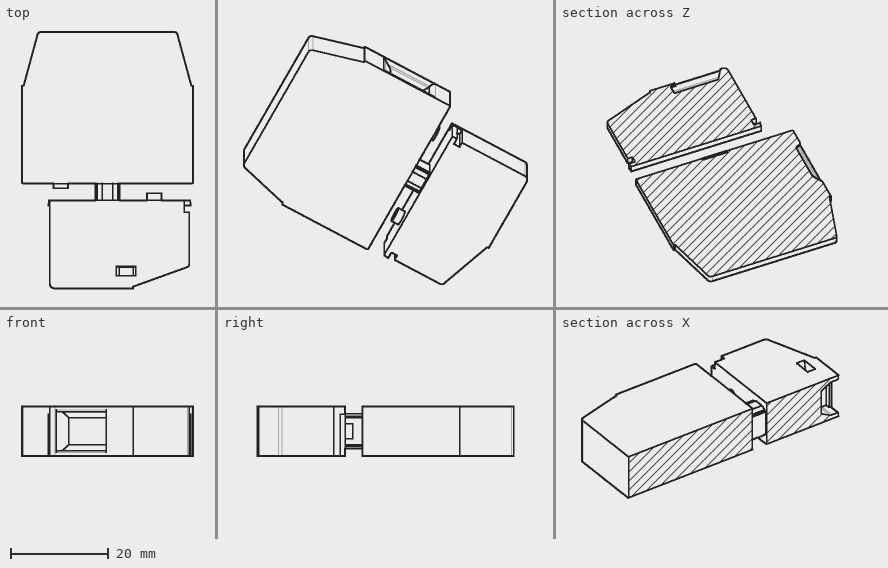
import cadquery as cq

HEIGHT = 10.2
HOUSING_WIDTH = 35.0
LENGTH = 52.45
HOUSING_FRONT = 21.45
SHOULDER_Y = 41.45
SHOULDER_HALF_WIDTH = 17.15
BACK_HALF_WIDTH = 14.15
BACK_CORNER_RADIUS = 0.8
FRONT_CORNER_RADIUS = 0.25
MID_HEIGHT = HEIGHT / 2

PLUG_LEFT = -11.8
PLUG_RIGHT = 16.75
PLUG_BACK = 18.0
PLUG_CORNER_RADIUS = 1.0
SLANT_CORNER_RADIUS = 0.75
SLANT_START_X = 5.25
SLANT_START_Y = 0.35
SLANT_END_Y = 4.5

NOTCH_DEPTH = 1.05
NOTCH_FRONT = 15.65
LEFT_NOTCH_TOP = 8.95
LIP_FRONT = 16.95
LIP_TOP = 8.5
LIP_BACK_OVERHANG = 0.15
LIP_FRONT_OVERHANG = 0.3

WINDOW_X = (1.85, 5.75)
WINDOW_Y = (2.6, 4.5)
WINDOW_DEPTH = 2.6
WINDOW_END_TAPER = 0.5
WINDOW_BACK_TAPER = 0.15

PIN_RADIUS = 1.5
PIN_X = 9.55
HOUSING_PIN_LENGTH = 1.0
PLUG_PIN_LENGTH = 1.5

BAR_HALF_WIDTH = 2.45
BAR_SIDE_HALF_HEIGHT = 2.8
BAR_RIB_HALF_WIDTH = 2.1
BAR_RIB_HALF_HEIGHT = 3.1
BAR_CREST_HALF_WIDTH = 1.1
BAR_CREST_HALF_HEIGHT = 3.55
SLOT_WIDTH = 5.4
SLOT_HEIGHT = 7.35
SLOT_DEPTH = 0.4

ENTRY_DEPTH = 4.2
ENTRY_LEFT = -10.45
ENTRY_RIGHT = -0.25
ENTRY_BACK_LEFT = -7.9
ENTRY_INNER_RIGHT = 0.8
ENTRY_RIM_DEPTH = 0.65
ENTRY_HALF_HEIGHT = 4.35
ENTRY_LIP_RADIUS = 0.35
ENTRY_RAMP_START = 2.0
ENTRY_RAMP_RADIUS = 1.05

SIDE_ENTRY_DEPTH = 3.05
SIDE_ENTRY_FRONT = 25.05
SIDE_ENTRY_BACK = 37.05
SIDE_ENTRY_FRONT_LIP = 0.85
SIDE_ENTRY_BACK_LIP_DEPTH = 0.15
SIDE_ENTRY_BACK_LIP_WIDTH = 0.45
SIDE_ENTRY_FLOOR_FRONT = 27.5
SIDE_ENTRY_FLOOR_BACK = 34.4
SIDE_ENTRY_NOSE_DEPTH = 1.4
SIDE_ENTRY_NOSE_Y = 34.55
SIDE_ENTRY_NOSE_RADIUS = 0.85
SIDE_ENTRY_HALF_HEIGHT = 4.55
SIDE_ENTRY_LIP_RADIUS = 0.7
SIDE_ENTRY_RAMP_START = 0.9
SIDE_ENTRY_RAMP_RADIUS = 0.8

END_HALF_HEIGHT = 2.8

DIAGONAL = 0.5 ** 0.5


def box(x_range, y_range, z_range):
    size = [high - low for low, high in (x_range, y_range, z_range)]
    return cq.Workplane().box(*size, centered=False).translate((x_range[0], y_range[0], z_range[0]))


def plan_prism(points):
    return cq.Workplane("XY").polyline(points).close().extrude(HEIGHT)


def round_edges(solid, radius, points):
    """Fillet the edge whose middle is nearest to each point."""
    for point in points:
        solid = solid.edges(cq.NearestToPointSelector(point)).fillet(radius)
    return solid


def entry_height_prism(plane, start, length, half_height, lip, ramp_start, ramp_radius, depth):
    """Mouth flared by rounded lips, then level walls, then ramps narrowing to the end wall."""
    inner = half_height - lip
    lip_mid = lip * (1 - DIAGONAL)
    lip_mid_depth = lip * DIAGONAL
    prism = (
        cq.Workplane(plane, origin=start)
        .moveTo(0, -half_height)
        .threePointArc((lip_mid, -half_height + lip_mid_depth), (lip, -inner))
        .lineTo(ramp_start, -inner)
        .lineTo(depth, -END_HALF_HEIGHT)
        .lineTo(depth, END_HALF_HEIGHT)
        .lineTo(ramp_start, inner)
        .lineTo(lip, inner)
        .threePointArc((lip_mid, half_height - lip_mid_depth), (0, half_height))
        .close()
        .extrude(length)
    )
    ramp_points = [(ramp_start, -inner), (ramp_start, inner)]
    middle = cq.Workplane(plane, origin=start).workplane(offset=length / 2)
    ramp_edges = [middle.plane.toWorldCoords(point).toTuple() for point in ramp_points]
    return round_edges(prism, ramp_radius, ramp_edges)


def make_housing():
    half_width = HOUSING_WIDTH / 2
    block = plan_prism([
        (-half_width, HOUSING_FRONT),
        (half_width, HOUSING_FRONT),
        (half_width, SHOULDER_Y),
        (SHOULDER_HALF_WIDTH, SHOULDER_Y),
        (BACK_HALF_WIDTH, LENGTH),
        (-BACK_HALF_WIDTH, LENGTH),
        (-SHOULDER_HALF_WIDTH, SHOULDER_Y),
        (-half_width, SHOULDER_Y),
    ])
    back_corners = [(side * BACK_HALF_WIDTH, LENGTH, MID_HEIGHT) for side in (-1, 1)]
    front_corners = [(side * half_width, HOUSING_FRONT, MID_HEIGHT) for side in (-1, 1)]
    block = round_edges(block, BACK_CORNER_RADIUS, back_corners)
    return round_edges(block, FRONT_CORNER_RADIUS, front_corners)


def make_plug():
    block = plan_prism([
        (PLUG_LEFT, 0),
        (SLANT_START_X, 0),
        (SLANT_START_X, SLANT_START_Y),
        (PLUG_RIGHT, SLANT_END_Y),
        (PLUG_RIGHT, PLUG_BACK),
        (PLUG_LEFT, PLUG_BACK),
    ])
    block = round_edges(block, PLUG_CORNER_RADIUS, [(PLUG_LEFT, 0, MID_HEIGHT)])
    return round_edges(block, SLANT_CORNER_RADIUS, [(PLUG_RIGHT, SLANT_END_Y, MID_HEIGHT)])


def add_latch(plug, wall_x, outward, notch_top):
    """Cut a notch at one back corner of the plug and stand a slanted lip in it."""
    notch_x = wall_x - outward * NOTCH_DEPTH
    notch = box(sorted((notch_x, wall_x)), (NOTCH_FRONT, PLUG_BACK), (0, notch_top))
    lip = (
        cq.Workplane("XY")
        .polyline([
            (notch_x, LIP_FRONT),
            (wall_x + outward * LIP_FRONT_OVERHANG, LIP_FRONT),
            (wall_x + outward * LIP_BACK_OVERHANG, PLUG_BACK),
            (notch_x, PLUG_BACK),
        ])
        .close()
        .extrude(LIP_TOP)
    )
    return plug.cut(notch).union(lip)


def make_window():
    width = WINDOW_X[1] - WINDOW_X[0]
    depth = WINDOW_Y[1] - WINDOW_Y[0]
    return (
        cq.Workplane("XY", origin=(sum(WINDOW_X) / 2, sum(WINDOW_Y) / 2, HEIGHT))
        .rect(width, depth)
        .workplane(offset=-WINDOW_DEPTH)
        .center(0, -WINDOW_BACK_TAPER / 2)
        .rect(width - 2 * WINDOW_END_TAPER, depth - WINDOW_BACK_TAPER)
        .loft(ruled=True)
    )


def make_plug_entry():
    """Entry with a slanted left wall, widening to the right behind a thin rim."""
    plan = plan_prism([
        (ENTRY_LEFT, 0),
        (ENTRY_RIGHT, 0),
        (ENTRY_RIGHT, ENTRY_RIM_DEPTH),
        (ENTRY_INNER_RIGHT, ENTRY_RIM_DEPTH),
        (ENTRY_INNER_RIGHT, ENTRY_DEPTH),
        (ENTRY_BACK_LEFT, ENTRY_DEPTH),
    ])
    start = (ENTRY_LEFT, 0, MID_HEIGHT)
    heights = entry_height_prism(
        "YZ", start, ENTRY_INNER_RIGHT - ENTRY_LEFT, ENTRY_HALF_HEIGHT, ENTRY_LIP_RADIUS,
        ENTRY_RAMP_START, ENTRY_RAMP_RADIUS, ENTRY_DEPTH,
    )
    return plan.intersect(heights)


def make_housing_entry():
    """Entry with flared edges and a rounded nose on its back wall."""
    mouth_x = -HOUSING_WIDTH / 2
    front_lip = SIDE_ENTRY_FRONT_LIP
    plan = (
        cq.Workplane("XY", origin=(mouth_x, 0, 0))
        .moveTo(0, SIDE_ENTRY_FRONT)
        .threePointArc(
            (front_lip * (1 - DIAGONAL), SIDE_ENTRY_FRONT + front_lip * DIAGONAL),
            (front_lip, SIDE_ENTRY_FRONT + front_lip),
        )
        .lineTo(SIDE_ENTRY_DEPTH, SIDE_ENTRY_FLOOR_FRONT)
        .lineTo(SIDE_ENTRY_DEPTH, SIDE_ENTRY_FLOOR_BACK)
        .lineTo(SIDE_ENTRY_NOSE_DEPTH, SIDE_ENTRY_NOSE_Y)
        .lineTo(SIDE_ENTRY_BACK_LIP_DEPTH, SIDE_ENTRY_BACK - SIDE_ENTRY_BACK_LIP_WIDTH)
        .lineTo(0, SIDE_ENTRY_BACK)
        .close()
        .extrude(HEIGHT)
    )
    nose = (mouth_x + SIDE_ENTRY_NOSE_DEPTH, SIDE_ENTRY_NOSE_Y, MID_HEIGHT)
    plan = round_edges(plan, SIDE_ENTRY_NOSE_RADIUS, [nose])
    start = (mouth_x, SIDE_ENTRY_BACK, MID_HEIGHT)
    heights = entry_height_prism(
        "XZ", start, SIDE_ENTRY_BACK - SIDE_ENTRY_FRONT, SIDE_ENTRY_HALF_HEIGHT, SIDE_ENTRY_LIP_RADIUS,
        SIDE_ENTRY_RAMP_START, SIDE_ENTRY_RAMP_RADIUS, SIDE_ENTRY_DEPTH,
    )
    return plan.intersect(heights)


def make_pin(x, base_y, length):
    """Round pin pointing toward -Y from base_y, or toward +Y for a negative length."""
    return cq.Workplane("XZ", origin=(x, base_y, MID_HEIGHT)).circle(PIN_RADIUS).extrude(length)


def make_slot():
    return (
        cq.Workplane("XZ", origin=(0, HOUSING_FRONT, MID_HEIGHT))
        .rect(SLOT_WIDTH, SLOT_HEIGHT)
        .extrude(-SLOT_DEPTH)
    )


def make_bar():
    upper_right = [
        (BAR_HALF_WIDTH, BAR_SIDE_HALF_HEIGHT),
        (BAR_RIB_HALF_WIDTH, BAR_SIDE_HALF_HEIGHT),
        (BAR_RIB_HALF_WIDTH, BAR_RIB_HALF_HEIGHT),
        (BAR_CREST_HALF_WIDTH, BAR_CREST_HALF_HEIGHT),
    ]
    right_side = [(x, -z) for x, z in reversed(upper_right)] + upper_right
    left_side = [(-x, -z) for x, z in right_side]
    return (
        cq.Workplane("XZ", origin=(0, PLUG_BACK, MID_HEIGHT))
        .polyline(right_side + left_side)
        .close()
        .extrude(PLUG_BACK - HOUSING_FRONT - SLOT_DEPTH)
    )


housing = make_housing().cut(make_housing_entry()).cut(make_slot())

plug = make_plug().cut(make_plug_entry()).cut(make_window())
plug = add_latch(plug, PLUG_LEFT, -1, LEFT_NOTCH_TOP)
plug = add_latch(plug, PLUG_RIGHT, 1, HEIGHT)

result = (
    housing
    .union(plug)
    .union(make_bar())
    .union(make_pin(-PIN_X, HOUSING_FRONT, HOUSING_PIN_LENGTH))
    .union(make_pin(PIN_X, PLUG_BACK, -PLUG_PIN_LENGTH))
)